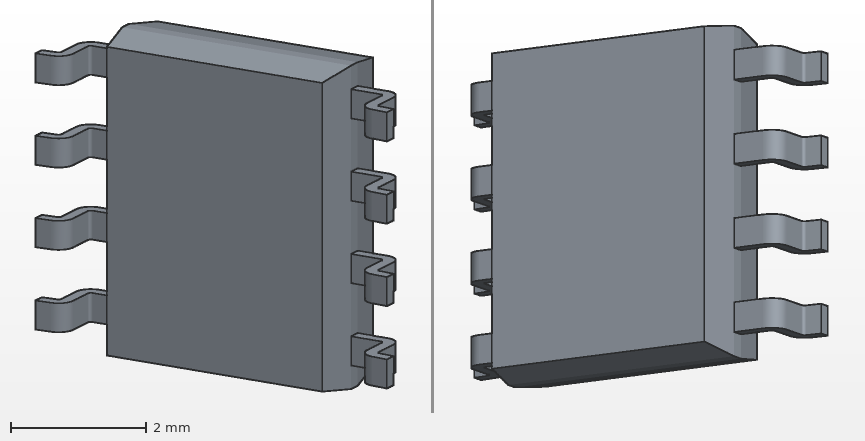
import cadquery as cq
import math

BODY_WIDTH = 3.905
BODY_DEPTH = 1.5
BODY_HEIGHT = 5.0
DRAFT_ANGLE = 10.0

LEAD_SPAN = 6.0
LEAD_THICKNESS = 0.2
LEAD_WIDTH = 0.45
LEAD_PITCH = 1.27
LEADS_PER_SIDE = 4
LEG_SPAN = 5.41
BEND_INNER_RADIUS = 0.05
BEND_OUTER_RADIUS = BEND_INNER_RADIUS + LEAD_THICKNESS
FOOT_SLOPE = 4.0
STANDOFF = 0.1

BAND_TOP = LEAD_THICKNESS / 2
BODY_BOTTOM = -BODY_DEPTH / 2
FOOT_BOTTOM = BODY_BOTTOM - STANDOFF


def make_body():
    """Parting band with a drafted half on each side of it."""
    half_depth = (BODY_DEPTH - LEAD_THICKNESS) / 2
    body_solid = cq.Workplane("XY").box(BODY_WIDTH, LEAD_THICKNESS, BODY_HEIGHT)
    for side in (">Y", "<Y"):
        body_solid = (
            body_solid.faces(side)
            .workplane(centerOption="CenterOfMass")
            .rect(BODY_WIDTH, BODY_HEIGHT)
            .extrude(half_depth, taper=DRAFT_ANGLE)
        )
    return body_solid


def on_circle(center, radius, angle):
    """Point on a circle at an angle in degrees, counter-clockwise from +X."""
    turn = math.radians(angle)
    return (center[0] + radius * math.cos(turn), center[1] + radius * math.sin(turn))


def make_lead():
    """Lead on the +X side, centred on Z = 0: shoulder, leg and sloping foot."""
    slope = math.tan(math.radians(FOOT_SLOPE))
    body_side = BODY_WIDTH / 2
    tip = LEAD_SPAN / 2
    leg_outer = LEG_SPAN / 2
    leg_inner = leg_outer - LEAD_THICKNESS
    tip_height = LEAD_THICKNESS / math.cos(math.radians(FOOT_SLOPE))

    shoulder_bend = (leg_outer - BEND_OUTER_RADIUS, BAND_TOP - BEND_OUTER_RADIUS)

    foot_bend_x = leg_inner + BEND_OUTER_RADIUS
    foot_end_angle = 270.0 - FOOT_SLOPE
    tangent_x, tangent_drop = on_circle((foot_bend_x, 0), BEND_OUTER_RADIUS, foot_end_angle)
    foot_bend = (foot_bend_x, FOOT_BOTTOM + (tip - tangent_x) * slope - tangent_drop)
    foot_mid_angle = (180.0 + foot_end_angle) / 2

    return (
        cq.Workplane("XY", origin=(0, 0, -LEAD_WIDTH / 2))
        .moveTo(body_side, BAND_TOP)
        .lineTo(*on_circle(shoulder_bend, BEND_OUTER_RADIUS, 90))
        .threePointArc(
            on_circle(shoulder_bend, BEND_OUTER_RADIUS, 45),
            on_circle(shoulder_bend, BEND_OUTER_RADIUS, 0),
        )
        .lineTo(*on_circle(foot_bend, BEND_INNER_RADIUS, 180))
        .threePointArc(
            on_circle(foot_bend, BEND_INNER_RADIUS, foot_mid_angle),
            on_circle(foot_bend, BEND_INNER_RADIUS, foot_end_angle),
        )
        .lineTo(tip, FOOT_BOTTOM + tip_height)
        .lineTo(tip, FOOT_BOTTOM)
        .lineTo(*on_circle(foot_bend, BEND_OUTER_RADIUS, foot_end_angle))
        .threePointArc(
            on_circle(foot_bend, BEND_OUTER_RADIUS, foot_mid_angle),
            on_circle(foot_bend, BEND_OUTER_RADIUS, 180),
        )
        .lineTo(*on_circle(shoulder_bend, BEND_INNER_RADIUS, 0))
        .threePointArc(
            on_circle(shoulder_bend, BEND_INNER_RADIUS, 45),
            on_circle(shoulder_bend, BEND_INNER_RADIUS, 90),
        )
        .lineTo(body_side, -BAND_TOP)
        .close()
        .extrude(LEAD_WIDTH)
    )


def make_leads():
    """Two mirrored rows of leads, each row centred on the body's height."""
    right_lead = make_lead()
    left_lead = right_lead.mirror("YZ")
    leads = []
    for index in range(LEADS_PER_SIDE):
        height = (index - (LEADS_PER_SIDE - 1) / 2) * LEAD_PITCH
        leads.append(right_lead.translate((0, 0, height)).val())
        leads.append(left_lead.translate((0, 0, height)).val())
    return leads


body = make_body()
leads = make_leads()

result = cq.Compound.makeCompound([body.val(), *leads])